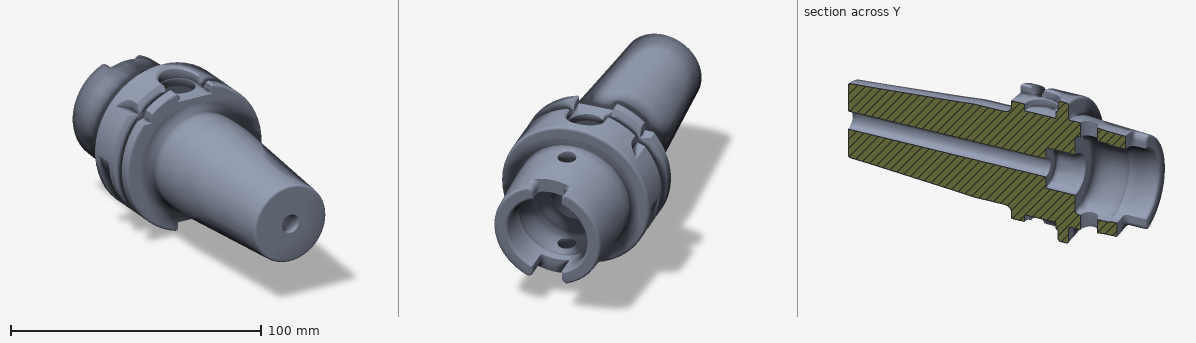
import cadquery as cq
import math


total_length = 132.0
flange_front = 32.0
flange_back = 58.0
nose_cone_start = 74.8

taper_end = 30.2
taper_tip_radius = 22.64
taper_slope = 1 / 20
taper_root_radius = taper_tip_radius + taper_slope * taper_end
relief_radius = 23.96
relief_start = 30.6
root_start = 31.48
root_middle_x = 31.8
root_middle_radius = 24.8
root_radius = 25.6

flange_radius = 31.48
front_rim_fillet = 1.2
back_rim_fillet = 0.9

groove_left = 46.7
groove_right = 53.6
channel_left = 48.3
channel_right = 51.7
channel_radius = 27.39
channel_fillet = 0.7
flank_slope = math.tan(math.radians(60))

shank_radius = 20.92
nose_radius = 16.6
shank_fillet = 3.0
nose_fillet = 1.0

bore_radius = 16.96
bore_length = 13.5
cavity_radius = 17.4
cavity_floor = 29.0
cavity_fillet = 1.6
tube_bore_radius = 9.0
tube_bore_end = 42.2
coolant_radius = 4.0

drive_half_width = 6.14
drive_depth_top = 6.1
drive_depth_bottom = 10.0
drive_corner_radius = 2.5
drive_floor_fillet = 1.5
tip_fillet = 1.0

access_hole_radius = 3.76
access_hole_x = 22.8

keyway_half_width = 7.99
keyway_center_x = 44.9
keyway_floor = 26.4
keyway_chamfer = 0.9
pocket_radius = 6.93
pocket_depth = 3.0

notch_wall_y = -20.2
notch_floor_z = 19.9
notch_cutter_radius = 7.9
notch_center_x = 43.8

flat_start_x = 35.5
flat_length = 8.0
flat_width = 23.2
flat_angle = 22.0
flat_distance = math.sqrt(flange_radius**2 - (flat_width / 2) ** 2)


def turned(points):
    """Solid of revolution about X from (x, radius) points."""
    return cq.Workplane("XY").polyline(points).close().revolve(360, (0, 0, 0), (1, 0, 0))


def turned_taper():
    return turned([
        (0, 0),
        (0, taper_tip_radius),
        (taper_end, taper_root_radius),
        (relief_start, relief_radius),
        (root_start, relief_radius),
        (root_middle_x, root_middle_radius),
        (flange_front, root_radius),
        (flange_front, 0),
    ])


def turned_nose():
    nose = (
        cq.Workplane("XY")
        .moveTo(flange_back, 0)
        .lineTo(flange_back, shank_radius + shank_fillet)
        .radiusArc((flange_back + shank_fillet, shank_radius), -shank_fillet)
        .lineTo(nose_cone_start, shank_radius)
        .lineTo(total_length, nose_radius)
        .lineTo(total_length, 0)
        .close()
        .revolve(360, (0, 0, 0), (1, 0, 0))
    )
    return nose.faces(">X").edges().fillet(nose_fillet)


def keyway(side):
    """Round-ended keyway open toward +X; side is +1 above, -1 below."""
    height = flange_radius
    run = flange_back
    plane = cq.Workplane("XY").workplane(offset=side * keyway_floor)
    end = plane.center(keyway_center_x, 0).circle(keyway_half_width).extrude(side * height)
    lane = plane.center(keyway_center_x + run / 2, 0).rect(run, 2 * keyway_half_width)
    return end.union(lane.extrude(side * height))


def flange():
    """Plain disc with both keyways cut and their outer edges chamfered."""
    disc = turned([
        (flange_front, 0),
        (flange_front, flange_radius),
        (flange_back, flange_radius),
        (flange_back, 0),
    ])
    for side in (1, -1):
        disc = disc.cut(keyway(side))
        mouth_edges = cq.selectors.BoxSelector(
            (flange_front, -keyway_half_width - 1.3, side * (keyway_floor + 1.3)),
            (flange_back - 0.1, keyway_half_width + 1.3, side * (flange_radius + 1.3)),
        )
        disc = disc.edges(mouth_edges).chamfer(keyway_chamfer)
    return disc


def gripper_groove():
    """Ring with flared V flanks and a filleted flat-bottomed channel."""
    left_step = flange_radius - (channel_left - groove_left) * flank_slope
    right_step = flange_radius - (groove_right - channel_right) * flank_slope
    clear = 1.3
    flanks = turned([
        (channel_left, channel_radius),
        (channel_left, left_step),
        (groove_left, flange_radius),
        (groove_left, flange_radius + clear),
        (groove_right, flange_radius + clear),
        (groove_right, flange_radius),
        (channel_right, right_step),
        (channel_right, channel_radius),
    ])
    floor_edges = cq.selectors.RadiusNthSelector(0)
    return flanks.edges(floor_edges).fillet(channel_fillet)


def axis_bores():
    """Entrance bore, wider cavity with a filleted floor, tube bore and coolant hole."""
    bores = turned([
        (0, 0),
        (0, bore_radius),
        (bore_length, bore_radius),
        (bore_length, cavity_radius),
        (cavity_floor, cavity_radius),
        (cavity_floor, tube_bore_radius),
        (tube_bore_end, tube_bore_radius),
        (tube_bore_end, coolant_radius),
        (total_length, coolant_radius),
        (total_length, 0),
    ])
    floor_rim = cq.selectors.BoxSelector(
        (cavity_floor - 0.1, -0.1, -0.1), (cavity_floor + 0.1, 0.1, 0.1)
    )
    return bores.edges(floor_rim).edges(cq.selectors.RadiusNthSelector(-1)).fillet(cavity_fillet)


def drive_slot(depth, side):
    """Slot from the open end whose walls flare out to meet the taper surface."""
    r = drive_corner_radius
    outer = taper_tip_radius + taper_slope * depth
    cy = drive_half_width + r
    cz = math.sqrt((outer - r) ** 2 - cy**2)
    end = math.atan2(cz, cy)
    middle = (math.pi + end) / 2

    def on_arc(angle):
        return cy + r * math.cos(angle), cz + r * math.sin(angle)

    def mirrored(point):
        return -point[0], point[1]

    top = outer + 1.3
    tip = on_arc(end)
    slot = (
        cq.Workplane("YZ")
        .moveTo(-drive_half_width, 0)
        .lineTo(drive_half_width, 0)
        .lineTo(drive_half_width, cz)
        .threePointArc(on_arc(middle), tip)
        .lineTo(tip[0], top)
        .lineTo(-tip[0], top)
        .lineTo(*mirrored(tip))
        .threePointArc(mirrored(on_arc(middle)), (-drive_half_width, cz))
        .close()
        .extrude(depth)
    )
    walls = cq.selectors.BoxSelector((depth - 0.1, -tip[0], 1.3), (depth + 0.1, tip[0], cz + r - 0.1))
    slot = slot.edges(walls).fillet(drive_floor_fillet)
    return slot if side > 0 else slot.mirror("XY")


def orientation_notch():
    """Right-angled corner notch with a rounded end, open toward +X."""
    reach = flange_radius
    depth = 2 * notch_cutter_radius
    plane = cq.Workplane("XY").workplane(offset=notch_floor_z)
    length = flange_back - notch_center_x
    lane = (
        plane.center(notch_center_x + length / 2, notch_wall_y - depth / 2)
        .rect(length, depth)
        .extrude(reach)
    )
    end = (
        plane.center(notch_center_x, notch_wall_y - notch_cutter_radius)
        .circle(notch_cutter_radius)
        .extrude(reach)
    )
    return lane.union(end)


def label_flat():
    thickness = flange_radius
    block = cq.Workplane("XY").box(flat_length, thickness, flat_width)
    block = block.translate((flat_start_x + flat_length / 2, -flat_distance - thickness / 2, 0))
    return block.rotate((0, 0, 0), (1, 0, 0), flat_angle)


def chip_pockets():
    """Shallow round pocket sunk into each keyway floor."""
    span = 2 * keyway_floor
    cylinder = cq.Workplane("XY").center(keyway_center_x, 0).circle(pocket_radius)
    between = cq.Workplane("XY").box(total_length, span, span - 2 * pocket_depth)
    return cylinder.extrude(keyway_floor, both=True).cut(between.translate((total_length / 2, 0, 0)))


collar = flange()
collar = collar.cut(gripper_groove())
collar = collar.faces("<X").edges().fillet(front_rim_fillet)
collar = collar.faces(">X").edges("%CIRCLE").fillet(back_rim_fillet)
collar = collar.cut(orientation_notch()).cut(label_flat()).cut(chip_pockets())

taper = turned_taper()
taper = taper.cut(axis_bores())
taper = taper.cut(drive_slot(drive_depth_top, 1)).cut(drive_slot(drive_depth_bottom, -1))
taper = taper.faces("<X").edges().fillet(tip_fillet)

result = taper.union(collar).union(turned_nose())
result = result.cut(axis_bores())
result = result.cut(
    cq.Workplane("XY").center(access_hole_x, 0).circle(access_hole_radius)
    .extrude(flange_radius, both=True)
)